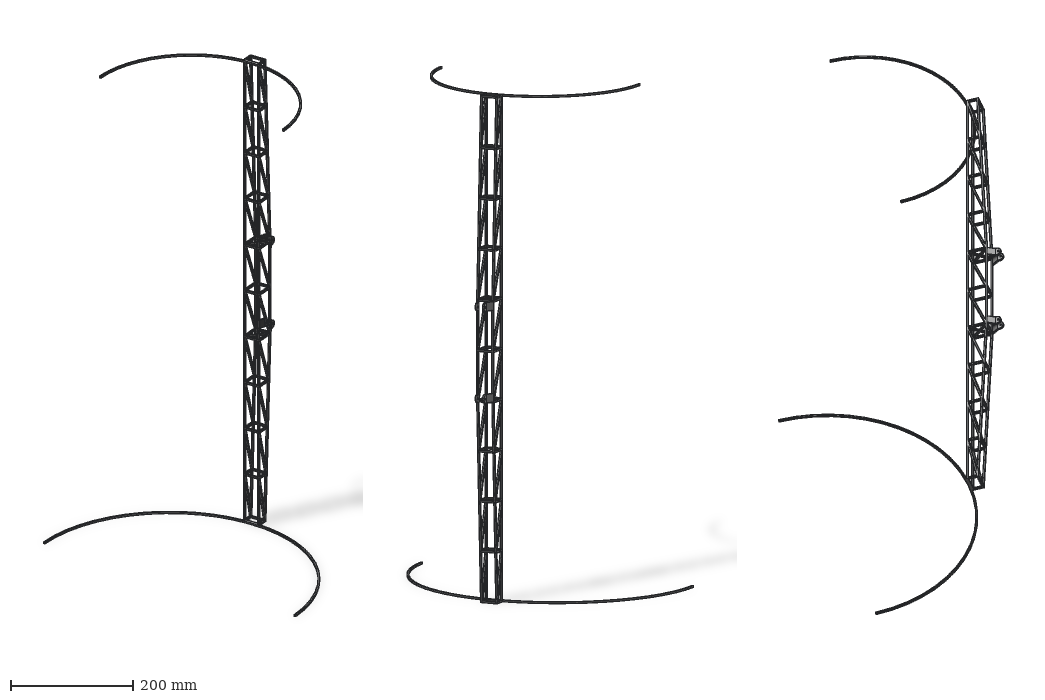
import cadquery as cq
import math

total_height = 844.0
bar = 3.0
half_bar = bar / 2

bottom_hoop_radius = 245.5
top_hoop_radius = 180.0
crown_y = bottom_hoop_radius

mast_width = 30.0
leg_x = mast_width / 2 - half_bar
hoop_overlap = 0.5
front_leg_y = crown_y - hoop_overlap + half_bar
end_depth = 18.0
middle_depth = 33.0

rung_count = 11
inner_rung_span = 671.0
rung_pitch = inner_rung_span / (rung_count - 3)
lower_kink_rung = 4
upper_kink_rung = rung_count - 1 - lower_kink_rung

prong_tip_y = 302.0
prong_height = 14.0
prong_thickness = 3.0
prong_gap = 10.0
prong_bend_angle = math.radians(30)
prong_inner_offset = 69.0
prong_hole_diameter = 3.0
prong_hole_edge_distance = 4.0


def rung_z(rung):
    """Height of a rung's axis; the end rungs lie flush with the ends of the mast."""
    if rung == 0:
        return half_bar
    if rung == rung_count - 1:
        return total_height - half_bar
    return total_height / 2 + (rung - (rung_count - 1) / 2) * rung_pitch


def rear_leg_y(rung):
    """Axis of the rear legs at a rung: sloped outside the kinks, upright between them."""
    distance_from_middle = abs(rung_z(rung) - total_height / 2)
    kink_distance = rung_z(upper_kink_rung) - total_height / 2
    end_distance = total_height / 2
    beyond_kink = max(0, distance_from_middle - kink_distance) / (end_distance - kink_distance)
    return front_leg_y + middle_depth - beyond_kink * (middle_depth - end_depth)


def square_bar(start, end):
    """Straight square bar between two axis points."""
    axis_start = cq.Vector(*start)
    axis = cq.Vector(*end) - axis_start
    is_in_side_plane = start[0] == end[0]
    across = cq.Vector(1, 0, 0) if is_in_side_plane else cq.Vector(0, 0, 1)
    section_plane = cq.Plane(origin=axis_start, xDir=across, normal=axis)
    return cq.Workplane(section_plane).rect(bar, bar).extrude(axis.Length).val()


def make_hoop(outer_radius, base_z):
    inner_radius = outer_radius - bar
    return (
        cq.Workplane("XY", origin=(0, crown_y - outer_radius, base_z))
        .moveTo(-outer_radius, 0)
        .threePointArc((0, outer_radius), (outer_radius, 0))
        .lineTo(inner_radius, 0)
        .threePointArc((0, inner_radius), (-inner_radius, 0))
        .close()
        .extrude(bar)
        .val()
    )


def make_front_leg(x):
    return square_bar((x, front_leg_y, 0), (x, front_leg_y, total_height))


def make_rear_leg(x):
    end_y = front_leg_y + end_depth
    axis = [
        (end_y, 0),
        (rear_leg_y(lower_kink_rung), rung_z(lower_kink_rung)),
        (rear_leg_y(upper_kink_rung), rung_z(upper_kink_rung)),
        (end_y, total_height),
    ]
    front_edge = [(y - half_bar, z) for y, z in axis]
    back_edge = [(y + half_bar, z) for y, z in reversed(axis)]
    return (
        cq.Workplane("YZ", origin=(x - half_bar, 0, 0))
        .polyline(front_edge + back_edge)
        .close()
        .extrude(bar)
        .val()
    )


def make_rung_frame(rung):
    """Four bars joining the legs at one height."""
    z = rung_z(rung)
    back_y = rear_leg_y(rung)
    cross_bars = [square_bar((-leg_x, y, z), (leg_x, y, z)) for y in (front_leg_y, back_y)]
    side_bars = [square_bar((x, front_leg_y, z), (x, back_y, z)) for x in (-leg_x, leg_x)]
    return cross_bars + side_bars


def make_bay_diagonals(rung):
    """Braces in both side planes, from the rear leg at a rung up to the front leg at the next."""
    return [
        square_bar((x, rear_leg_y(rung), rung_z(rung)), (x, front_leg_y, rung_z(rung + 1)))
        for x in (-leg_x, leg_x)
    ]


def make_cross_brace(rung):
    """Horizontal X between the four legs at a rung."""
    z = rung_z(rung)
    return [
        square_bar((x, front_leg_y, z), (-x, rear_leg_y(rung), z)) for x in (-leg_x, leg_x)
    ]


def make_frame():
    pieces = [
        make_hoop(bottom_hoop_radius, 0),
        make_hoop(top_hoop_radius, total_height - bar),
    ]
    for x in (-leg_x, leg_x):
        pieces += [make_front_leg(x), make_rear_leg(x)]
    for rung in range(rung_count):
        pieces += make_rung_frame(rung)
    for rung in range(rung_count - 1):
        pieces += make_bay_diagonals(rung)
    for rung in (lower_kink_rung, upper_kink_rung):
        pieces += make_cross_brace(rung)
    return pieces[0].fuse(*pieces[1:]).clean().Solids()[0]


def make_prong(side, center_z):
    """Plate from the back of a rear leg, bent inward and then straight back to a round nose."""
    foot_y = rear_leg_y(lower_kink_rung) + half_bar
    foot_outer_x = mast_width / 2
    foot_inner_x = foot_outer_x - prong_thickness / math.cos(prong_bend_angle)
    tip_inner_x = prong_gap / 2
    tip_outer_x = tip_inner_x + prong_thickness
    outer_bend_y = foot_y + (foot_outer_x - tip_outer_x) / math.tan(prong_bend_angle)
    inner_bend_y = foot_y + (foot_inner_x - tip_inner_x) / math.tan(prong_bend_angle)
    plate_outline = [
        (side * foot_outer_x, foot_y),
        (side * tip_outer_x, outer_bend_y),
        (side * tip_outer_x, prong_tip_y),
        (side * tip_inner_x, prong_tip_y),
        (side * tip_inner_x, inner_bend_y),
        (side * foot_inner_x, foot_y),
    ]
    plate = (
        cq.Workplane("XY", origin=(0, 0, center_z - prong_height / 2))
        .polyline(plate_outline)
        .close()
        .extrude(prong_height)
    )
    nose_radius = prong_height / 2
    nose_y = prong_tip_y - nose_radius
    side_profile = (
        cq.Workplane("YZ", origin=(-mast_width, 0, center_z))
        .moveTo(foot_y, -nose_radius)
        .lineTo(nose_y, -nose_radius)
        .threePointArc((prong_tip_y, 0), (nose_y, nose_radius))
        .lineTo(foot_y, nose_radius)
        .close()
        .moveTo(prong_tip_y - prong_hole_edge_distance, 0)
        .circle(prong_hole_diameter / 2)
        .extrude(2 * mast_width)
    )
    return plate.intersect(side_profile).solids().val()


frame = make_frame()

prong_center_offset = prong_inner_offset + prong_height / 2
prongs = []
for side in (-1, 1):
    for direction in (-1, 1):
        center_z = total_height / 2 + direction * prong_center_offset
        prongs.append(make_prong(side, center_z))

result = cq.Compound.makeCompound([frame, *prongs])